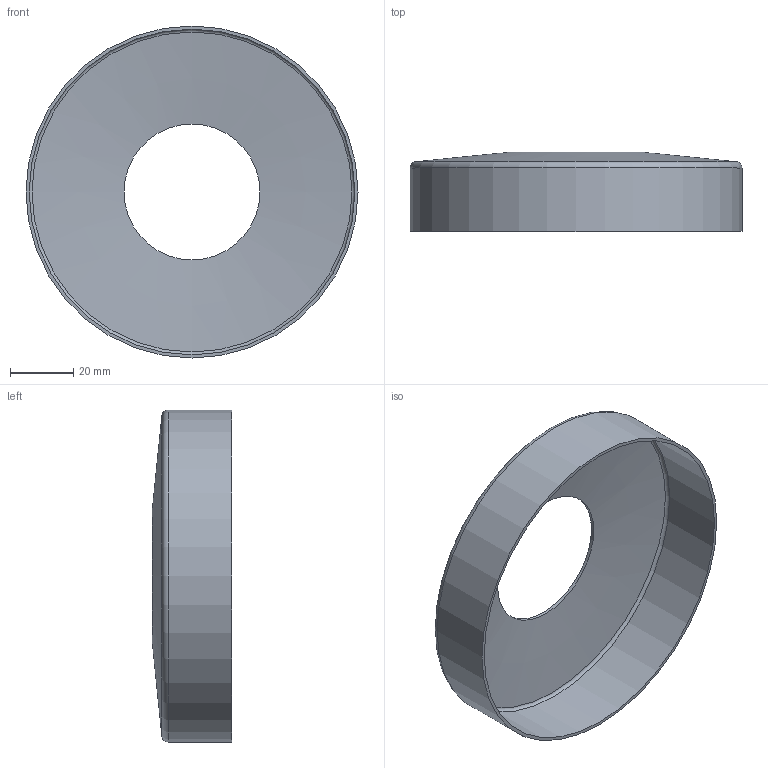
import cadquery as cq
import math

outer_radius = 105 / 2
hole_radius = 43 / 2
total_depth = 25.0
corner_depth = 21.85
wall_thickness = 1.0
outer_fillet_radius = 2.0
inner_fillet_radius = outer_fillet_radius - wall_thickness

cone_angle = math.atan2(total_depth - corner_depth, outer_radius - hole_radius)
axial_thickness = wall_thickness / math.cos(cone_angle)

fillet_center_radius = outer_radius - outer_fillet_radius
fillet_center_depth = (
    corner_depth
    + outer_fillet_radius * math.tan(cone_angle)
    - outer_fillet_radius / math.cos(cone_angle)
)


def fillet_point(fillet_radius, angle):
    """Point (radius, depth) on a corner fillet, angle measured from the radial direction."""
    return (
        fillet_center_radius + fillet_radius * math.cos(angle),
        fillet_center_depth + fillet_radius * math.sin(angle),
    )


def make_cap():
    """Revolve the wall section around the Y axis, starting at +Z."""
    cone_tangent = math.pi / 2 - cone_angle
    fillet_middle = cone_tangent / 2
    section_plane = cq.Plane(origin=(0, 0, 0), xDir=(0, 0, 1), normal=(-1, 0, 0))
    section = (
        cq.Workplane(section_plane)
        .moveTo(outer_radius, 0)
        .lineTo(*fillet_point(outer_fillet_radius, 0))
        .threePointArc(
            fillet_point(outer_fillet_radius, fillet_middle),
            fillet_point(outer_fillet_radius, cone_tangent),
        )
        .lineTo(hole_radius, total_depth)
        .lineTo(hole_radius, total_depth - axial_thickness)
        .lineTo(*fillet_point(inner_fillet_radius, cone_tangent))
        .threePointArc(
            fillet_point(inner_fillet_radius, fillet_middle),
            fillet_point(inner_fillet_radius, 0),
        )
        .lineTo(outer_radius - wall_thickness, 0)
        .close()
    )
    return section.revolve(360, (0, 0, 0), (0, 1, 0))


result = make_cap()